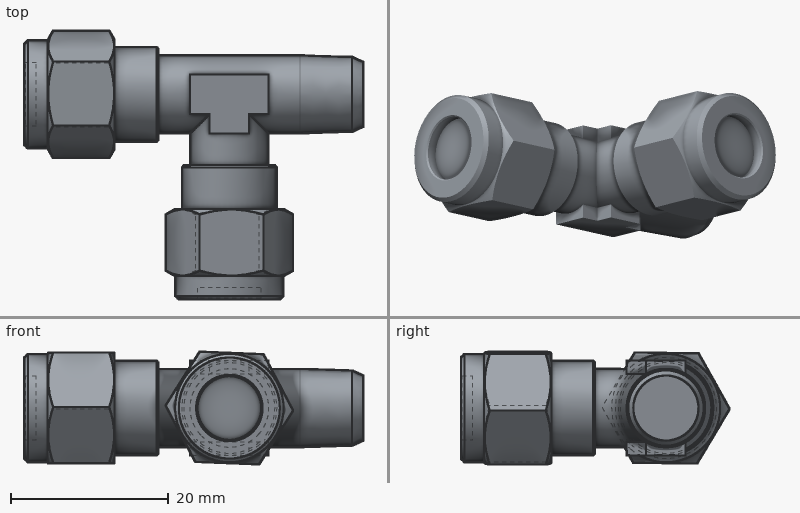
import cadquery as cq
import math

ARM_LENGTH = 26.0
SPIGOT_LENGTH = 17.0

TUBE_RADIUS = 5.0
PAD_LENGTH = 2 * TUBE_RADIUS
PAD_WIDTH = TUBE_RADIUS
PAD_HEIGHT = 12.05

COLLAR_RADIUS = 6.9
COLLAR_LENGTH = 2.95
COLLAR_CHAMFER = 0.47
HEX_ACROSS_FLATS = 14.0
HEX_END = 11.5
HEX_CHAMFER_ANGLE = 30
SHOULDER_RADIUS = 6.0
SHOULDER_END = 17.03
SHOULDER_CHAMFER = 0.25
SOCKET_RADIUS = 4.05
SOCKET_CHAMFER = 0.17
SOCKET_DEPTH = 1.5
RUN_NUT_TURN = 29.2
BRANCH_NUT_TURN = 2.3

TAPER_LENGTH = 8.0
TAPER_SLOPE = 1 / 32
TIP_LENGTH = 1.4
TIP_RADIUS = 4.13


def revolve(points):
    """Turn a closed (radius, axial) outline about the Z axis."""
    return cq.Workplane("XZ").polyline(points).close().revolve(360, (0, 0, 0), (0, 1, 0))


def hex_nut(turn):
    """Hexagon with both ends chamfered down to a round."""
    corner_radius = HEX_ACROSS_FLATS / math.sqrt(3)
    length = HEX_END - COLLAR_LENGTH
    prism = (
        cq.Workplane("XY", origin=(0, 0, COLLAR_LENGTH))
        .transformed(rotate=(0, 0, turn))
        .polygon(6, 2 * corner_radius)
        .extrude(length)
    )
    drop = (corner_radius - COLLAR_RADIUS) * math.tan(math.radians(HEX_CHAMFER_ANGLE))
    envelope = revolve([
        (0, COLLAR_LENGTH),
        (COLLAR_RADIUS, COLLAR_LENGTH),
        (corner_radius, COLLAR_LENGTH + drop),
        (corner_radius, HEX_END - drop),
        (COLLAR_RADIUS, HEX_END),
        (0, HEX_END),
    ])
    return prism.intersect(envelope)


def arm(nut_turn):
    """Compression end along +Z, open face at Z = 0, tube reaching the tee centre."""
    core = revolve([
        (0, SOCKET_DEPTH),
        (SOCKET_RADIUS, SOCKET_DEPTH),
        (SOCKET_RADIUS, SOCKET_CHAMFER),
        (SOCKET_RADIUS + SOCKET_CHAMFER, 0),
        (COLLAR_RADIUS - COLLAR_CHAMFER, 0),
        (COLLAR_RADIUS, COLLAR_CHAMFER),
        (COLLAR_RADIUS, COLLAR_LENGTH),
        (SHOULDER_RADIUS, COLLAR_LENGTH),
        (SHOULDER_RADIUS, SHOULDER_END - SHOULDER_CHAMFER),
        (SHOULDER_RADIUS - SHOULDER_CHAMFER, SHOULDER_END),
        (TUBE_RADIUS, SHOULDER_END),
        (TUBE_RADIUS, ARM_LENGTH),
        (0, ARM_LENGTH),
    ])
    return core.union(hex_nut(nut_turn))


def spigot():
    """Tapered end along +Z, starting at the tee centre."""
    taper_start = SPIGOT_LENGTH - TAPER_LENGTH
    taper_end = SPIGOT_LENGTH - TIP_LENGTH
    return revolve([
        (0, 0),
        (TUBE_RADIUS, 0),
        (TUBE_RADIUS, taper_start),
        (TUBE_RADIUS - TAPER_SLOPE * (taper_end - taper_start), taper_end),
        (TIP_RADIUS, SPIGOT_LENGTH),
        (0, SPIGOT_LENGTH),
    ])


def pads():
    """T-shaped block whose ends stand proud as flat pads above and below the tube."""
    bar = cq.Workplane("XY").box(PAD_LENGTH, PAD_WIDTH, PAD_HEIGHT)
    stem = cq.Workplane("XY").box(PAD_WIDTH, TUBE_RADIUS, PAD_HEIGHT).translate((0, -TUBE_RADIUS / 2, 0))
    return bar.union(stem)


run_arm = arm(RUN_NUT_TURN).rotate((0, 0, 0), (0, 1, 0), 90).translate((-ARM_LENGTH, 0, 0))
branch_arm = arm(BRANCH_NUT_TURN).rotate((0, 0, 0), (1, 0, 0), -90).translate((0, -ARM_LENGTH, 0))
tapered_end = spigot().rotate((0, 0, 0), (0, 1, 0), 90)

result = run_arm.union(tapered_end).union(branch_arm).union(pads())